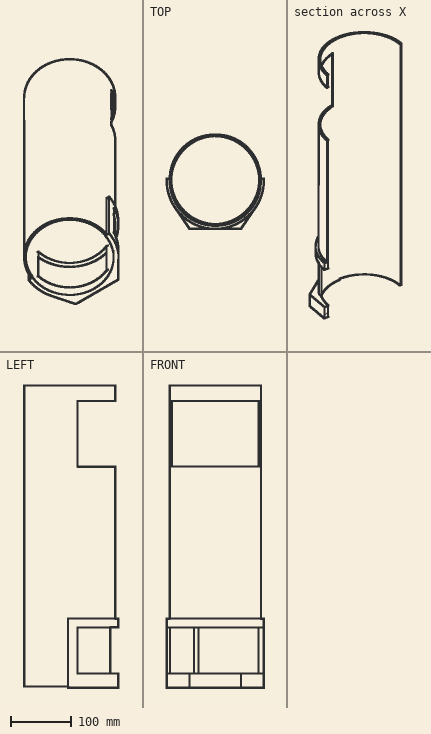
import cadquery as cq
import math

TUBE_OUTER_R = 151.82 / 2
TUBE_INNER_R = 145.8 / 2
TUBE_LENGTH = 500.0

BRACKET_WALL = 5.0
BRACKET_R = TUBE_OUTER_R + BRACKET_WALL
BRACKET_BACK_Y = 2.5
BRACKET_BOTTOM_Z = -2.0
BRACKET_TOP_Z = 113.0

FOOT_TOP_Z = 22.0
FOOT_FLAT_HALF_WIDTH = 42.7

WINDOW_EDGE_Y = -12.9
LOWER_WINDOW_TOP_Z = 98.5
UPPER_WINDOW_BOTTOM_Z = 365.0
UPPER_WINDOW_TOP_Z = 474.0
SHIELD_DEPTH = 8.5
SHIELD_EDGE_Y = -TUBE_OUTER_R + SHIELD_DEPTH

REACH = 2 * BRACKET_R


def front_box(edge_y, bottom_z, top_z, left_x=-REACH):
    """Block covering everything in front of edge_y and right of left_x."""
    return cq.Workplane("XY").box(
        REACH - left_x, REACH, top_z - bottom_z, centered=False
    ).translate((left_x, edge_y - REACH, bottom_z))


def cylinder(radius, bottom_z, top_z):
    return cq.Workplane("XY").workplane(offset=bottom_z).circle(radius).extrude(top_z - bottom_z)


def make_tube():
    tube = cylinder(TUBE_OUTER_R, 0, TUBE_LENGTH).cut(cylinder(TUBE_INNER_R, 0, TUBE_LENGTH))
    upper_window = front_box(WINDOW_EDGE_Y, UPPER_WINDOW_BOTTOM_Z, UPPER_WINDOW_TOP_Z)
    lower_right = front_box(WINDOW_EDGE_Y, FOOT_TOP_Z, LOWER_WINDOW_TOP_Z, left_x=0)
    lower_left = front_box(SHIELD_EDGE_Y, FOOT_TOP_Z, LOWER_WINDOW_TOP_Z)
    return tube.cut(upper_window).cut(lower_right).cut(lower_left)


def make_foot():
    """Trapezoid whose flanks touch the bracket circle tangentially."""
    tangent_angle = 2 * math.atan(FOOT_FLAT_HALF_WIDTH / BRACKET_R)
    tangent_x = BRACKET_R * math.sin(tangent_angle)
    tangent_y = -BRACKET_R * math.cos(tangent_angle)
    outline = [
        (-tangent_x, tangent_y),
        (-FOOT_FLAT_HALF_WIDTH, -BRACKET_R),
        (FOOT_FLAT_HALF_WIDTH, -BRACKET_R),
        (tangent_x, tangent_y),
    ]
    foot_height = FOOT_TOP_Z - BRACKET_BOTTOM_Z
    return (
        cq.Workplane("XY").workplane(offset=BRACKET_BOTTOM_Z)
        .polyline(outline).close().extrude(foot_height)
    )


def make_bracket():
    shell = cylinder(BRACKET_R, BRACKET_BOTTOM_Z, BRACKET_TOP_Z)
    shell = shell.intersect(front_box(BRACKET_BACK_Y, BRACKET_BOTTOM_Z, BRACKET_TOP_Z))
    shell = shell.cut(front_box(WINDOW_EDGE_Y, FOOT_TOP_Z, LOWER_WINDOW_TOP_Z))
    bracket = shell.union(make_foot())
    bracket = bracket.cut(cylinder(TUBE_OUTER_R, 0, BRACKET_TOP_Z))
    return bracket.cut(cylinder(TUBE_INNER_R, BRACKET_BOTTOM_Z, 0))


result = make_tube().union(make_bracket())